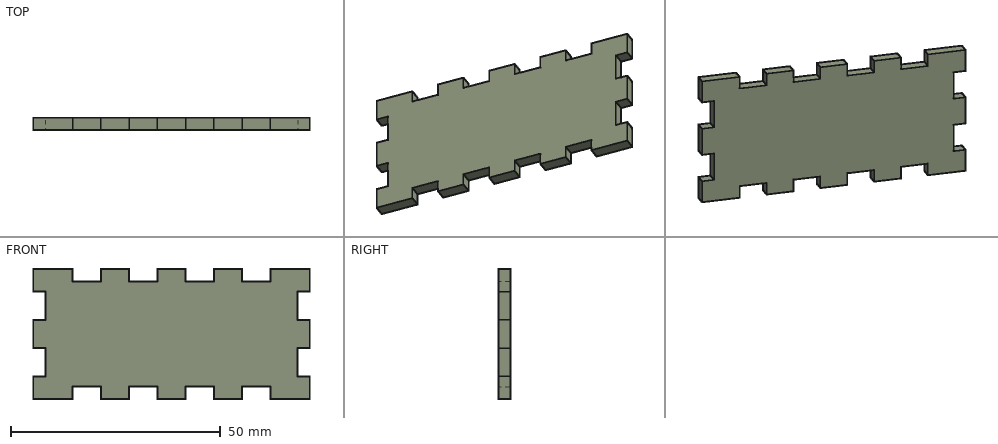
import cadquery as cq

length = 66.0
height = 31.0
thickness = 3.0
notch_depth = thickness
finger_width = 6.7
long_edge_notches = 4
short_edge_notches = 2


def notch_centers(count):
    """Positions of evenly spaced notches, symmetric about the edge's middle."""
    pitch = 2 * finger_width
    return [(i - (count - 1) / 2) * pitch for i in range(count)]


def notch_cutter(centers, size_x, size_z):
    """Blocks through the thickness, one at each (x, z) center."""
    return (
        cq.Workplane("XZ")
        .pushPoints(centers)
        .rect(size_x, size_z)
        .extrude(thickness, both=True)
    )


panel = cq.Workplane("XY").box(length, thickness, height)

long_edge_centers = [
    (x, side * height / 2)
    for side in (-1, 1)
    for x in notch_centers(long_edge_notches)
]
short_edge_centers = [
    (side * length / 2, z)
    for side in (-1, 1)
    for z in notch_centers(short_edge_notches)
]
long_edge_cutter = notch_cutter(long_edge_centers, finger_width, 2 * notch_depth)
short_edge_cutter = notch_cutter(short_edge_centers, 2 * notch_depth, finger_width)

result = panel.cut(long_edge_cutter).cut(short_edge_cutter)